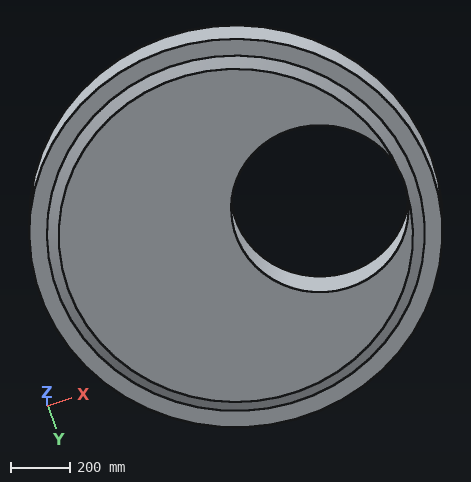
import cadquery as cq

disc_diameter = 1400.0
total_height = 160.0
lip_height = 22.0

lip_top_diameter = 1280.0
lip_bottom_diameter = 1200.0

opening_diameter = 600.0
opening_offset = opening_diameter / 2


def make_cover():
    """Revolve the disc and its tapered lip about the Z axis."""
    profile = [
        (0, 0),
        (lip_bottom_diameter / 2, 0),
        (lip_top_diameter / 2, lip_height),
        (disc_diameter / 2, lip_height),
        (disc_diameter / 2, total_height),
        (0, total_height),
    ]
    return cq.Workplane("XZ").polyline(profile).close().revolve(360, (0, 0), (0, 1))


def make_opening():
    """Cylinder that cuts the opening through the full height."""
    return (
        cq.Workplane("XY")
        .center(opening_offset, 0)
        .circle(opening_diameter / 2)
        .extrude(total_height)
    )


result = make_cover().cut(make_opening())